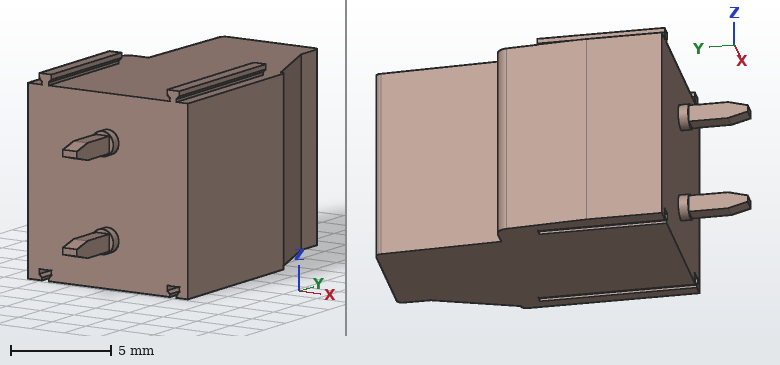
import cadquery as cq
import math


TOTAL_LENGTH = 18.5
PIN_LENGTH = 3.5
BODY_LENGTH = TOTAL_LENGTH - PIN_LENGTH
BODY_WIDTH = 9.5
POLE_COUNT = 2
POLE_PITCH = 5.0
BODY_HEIGHT = POLE_COUNT * POLE_PITCH

LEFT_STRAIGHT = 3.85
SHOULDER_Y = 8.53
SHOULDER_INSET = 0.31
SHOULDER_RADIUS = 0.6
NECK_INSET = 1.68
REAR_INSET = 1.92

LEDGE_Y = 9.05
EDGE_RADIUS = 0.3
REAR_RIGHT_X = 7.65
SLOPE_ANGLE = 20.0
SLOPE_END_X = BODY_WIDTH - EDGE_RADIUS
SLOPE_START_Y = LEDGE_Y + (SLOPE_END_X - REAR_RIGHT_X) / math.tan(math.radians(SLOPE_ANGLE))

RIB_WIDTH = 0.72
RIB_NECK_WIDTH = 0.39
RIB_HEIGHT = 0.57
RIB_NECK_HEIGHT = 0.15
RIB_FLARE_HEIGHT = (RIB_WIDTH - RIB_NECK_WIDTH) / 2
LEFT_RIB_X = 1.04
RIB_SPACING = 7.6
LEFT_RIB_LENGTH = 6.5
RIGHT_RIB_LENGTH = 8.0
RIBS = [(LEFT_RIB_X, LEFT_RIB_LENGTH), (LEFT_RIB_X + RIB_SPACING, RIGHT_RIB_LENGTH)]

COLLAR_DIAMETER = 1.3
COLLAR_LENGTH = 0.5
PIN_WIDTH = 0.83
PIN_HEIGHT = 0.89
TIP_HEIGHT = 0.35
TIP_LENGTH = 1.0


def make_housing():
    """Extruded housing with a stepped left side and a sloped right side."""
    outline = (
        cq.Workplane("XY")
        .moveTo(0, 0)
        .lineTo(0, LEFT_STRAIGHT)
        .lineTo(SHOULDER_INSET, SHOULDER_Y)
        .lineTo(NECK_INSET, SHOULDER_Y)
        .lineTo(REAR_INSET, BODY_LENGTH)
        .lineTo(REAR_RIGHT_X, BODY_LENGTH)
        .lineTo(REAR_RIGHT_X, SLOPE_START_Y)
        .lineTo(SLOPE_END_X, LEDGE_Y)
        .radiusArc((BODY_WIDTH, LEDGE_Y - EDGE_RADIUS), EDGE_RADIUS)
        .lineTo(BODY_WIDTH, 0)
        .close()
    )
    housing = outline.extrude(BODY_HEIGHT)
    shoulder_edge = cq.NearestToPointSelector((SHOULDER_INSET, SHOULDER_Y, BODY_HEIGHT / 2))
    housing = housing.edges("|Z").edges(shoulder_edge).fillet(SHOULDER_RADIUS)
    return housing.faces(">Y").edges("|Z").fillet(EDGE_RADIUS)


def make_rib(center_x, base_z, length):
    """Flared rib standing on base_z and running rearward from the pin-side face."""
    half_neck = RIB_NECK_WIDTH / 2
    half_width = RIB_WIDTH / 2
    flare_end = RIB_NECK_HEIGHT + RIB_FLARE_HEIGHT
    return (
        cq.Workplane("XZ", origin=(center_x, 0, base_z))
        .moveTo(-half_neck, 0)
        .lineTo(-half_neck, RIB_NECK_HEIGHT)
        .lineTo(-half_width, flare_end)
        .lineTo(-half_width, RIB_HEIGHT)
        .lineTo(half_width, RIB_HEIGHT)
        .lineTo(half_width, flare_end)
        .lineTo(half_neck, RIB_NECK_HEIGHT)
        .lineTo(half_neck, 0)
        .close()
        .extrude(-length)
    )


def make_pin(center_z):
    """Round collar with a rectangular pin whose top and bottom taper at the tip."""
    origin = (BODY_WIDTH / 2, 0, center_z)
    half_height = PIN_HEIGHT / 2
    half_tip = TIP_HEIGHT / 2
    taper_start = TIP_LENGTH - PIN_LENGTH
    collar = cq.Workplane("XZ", origin=origin).circle(COLLAR_DIAMETER / 2).extrude(COLLAR_LENGTH)
    blade = (
        cq.Workplane("YZ", origin=origin)
        .moveTo(0, -half_height)
        .lineTo(0, half_height)
        .lineTo(taper_start, half_height)
        .lineTo(-PIN_LENGTH, half_tip)
        .lineTo(-PIN_LENGTH, -half_tip)
        .lineTo(taper_start, -half_height)
        .close()
        .extrude(PIN_WIDTH / 2, both=True)
    )
    return collar.union(blade)


result = make_housing()

for rib_x, rib_length in RIBS:
    groove = make_rib(rib_x, 0, rib_length)
    rib = make_rib(rib_x, BODY_HEIGHT, rib_length)
    result = result.cut(groove).union(rib)

for pole in range(POLE_COUNT):
    result = result.union(make_pin((pole + 0.5) * POLE_PITCH))